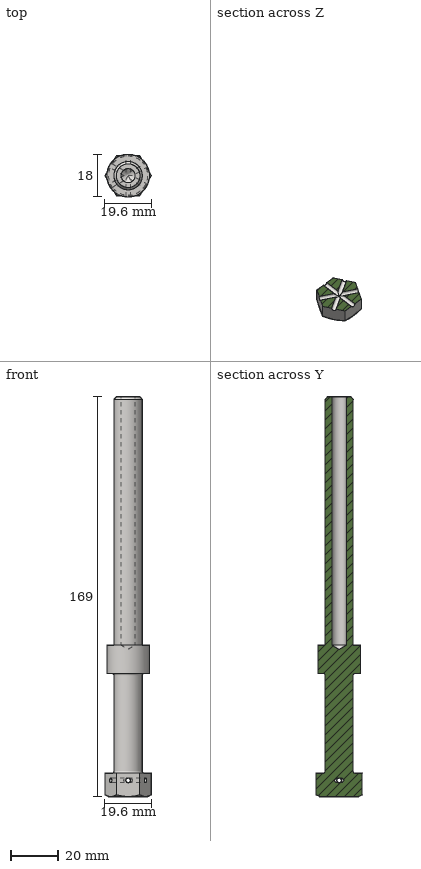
import cadquery as cq
import math

total_length = 169.0
shaft_diameter = 12.0
tip_chamfer_height = 1.2
tip_chamfer_width = 1.0
fillet_radius = 0.8

collar_diameter = 18.0
collar_height = 12.0
collar_bottom = 52.0

head_across_corners = 19.6
head_height = 10.0
head_bevel_height = 0.8
head_bevel_width = 1.5

wire_hole_diameter = 1.9
wire_hole_below_head_top = 3.0
wire_hole_count = 3

bore_diameter = 5.9
drill_point_angle = 118.0

shaft_radius = shaft_diameter / 2
collar_top = collar_bottom + collar_height
head_corner_radius = head_across_corners / 2
bore_radius = bore_diameter / 2
drill_point_height = bore_radius / math.tan(math.radians(drill_point_angle / 2))


def revolve_around_z(profile):
    """Turn a closed profile drawn in the XZ plane around the Z axis."""
    return profile.close().revolve(360, (0, 0, 0), (0, 1, 0))


def make_shaft():
    """Round shaft with a chamfered upper end."""
    tip_radius = shaft_radius - tip_chamfer_width
    return revolve_around_z(
        cq.Workplane("XZ")
        .lineTo(shaft_radius, 0)
        .lineTo(shaft_radius, total_length - tip_chamfer_height)
        .lineTo(tip_radius, total_length)
        .lineTo(0, total_length)
    )


def make_fillet_ring(face_height, direction):
    """Concave ring joining the shaft to a flat face; direction is +1 above it, -1 below it."""
    outer_radius = shaft_radius + fillet_radius
    end_height = face_height + direction * fillet_radius
    arc_offset = fillet_radius * (1 - math.sqrt(0.5))
    return revolve_around_z(
        cq.Workplane("XZ")
        .moveTo(0, face_height)
        .lineTo(outer_radius, face_height)
        .threePointArc(
            (shaft_radius + arc_offset, face_height + direction * arc_offset),
            (shaft_radius, end_height),
        )
        .lineTo(0, end_height)
    )


def make_collar():
    """Plain cylindrical collar part way up the shaft."""
    return (
        cq.Workplane("XY", origin=(0, 0, collar_bottom))
        .circle(collar_diameter / 2)
        .extrude(collar_height)
    )


def make_head():
    """Hexagonal head with corners on the X axis, bevelled underneath."""
    hexagon = cq.Workplane("XY").polygon(6, head_across_corners).extrude(head_height)
    bevel_envelope = (
        cq.Workplane("XY")
        .circle(head_corner_radius)
        .extrude(head_height)
        .faces("<Z")
        .chamfer(head_bevel_height, head_bevel_width)
    )
    return hexagon.intersect(bevel_envelope)


def cut_wire_holes(body):
    """Drill crossing holes through the centres of opposite head flats."""
    hole = (
        cq.Workplane("XZ", origin=(0, 0, head_height - wire_hole_below_head_top))
        .circle(wire_hole_diameter / 2)
        .extrude(head_corner_radius, both=True)
    )
    for index in range(wire_hole_count):
        body = body.cut(hole.rotate((0, 0, 0), (0, 0, 1), index * 180 / wire_hole_count))
    return body


def make_bore():
    """Blind bore from the upper end; its full diameter stops level with the collar top."""
    return revolve_around_z(
        cq.Workplane("XZ")
        .moveTo(0, collar_top - drill_point_height)
        .lineTo(bore_radius, collar_top)
        .lineTo(bore_radius, total_length)
        .lineTo(0, total_length)
    )


body = make_shaft().union(make_head()).union(make_collar())
body = body.union(make_fillet_ring(head_height, 1))
body = body.union(make_fillet_ring(collar_bottom, -1))
body = cut_wire_holes(body)
result = body.cut(make_bore())